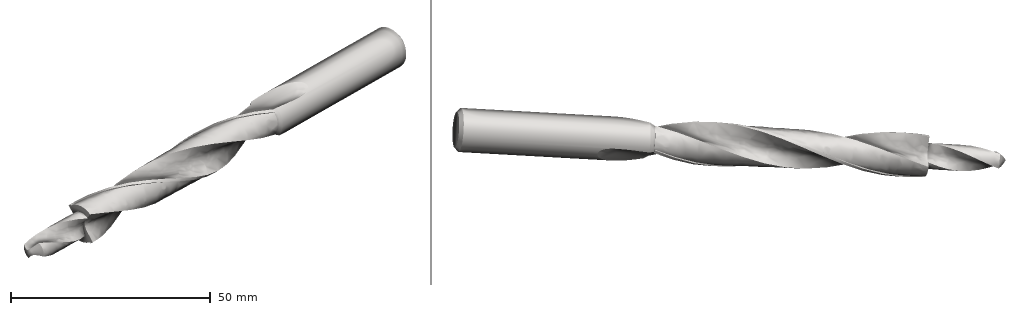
import cadquery as cq
import math

total_length = 140.0
shank_diameter = 11.0
shank_length = 49.8
end_chamfer = 1.0
neck_chamfer_length = 1.3

step_position = 119.8
margin_radius = shank_diameter / 2
margin_angle = 9.0
land_angle = 85.0
clearance_front_radius = 5.2
clearance_back_radius = 4.9
drill_pitch = 95.2
drill_vertex_radius = 0.7
step_lead_angle = 136.0

runout_length = 12.9
runout_sideways = 4.3
runout_outward = 2.8
runout_overrun = 1.2

pilot_radius = 3.29
pilot_land_angle = 68.0
pilot_pitch = 52.3
pilot_vertex_radius = 0.4
pilot_tip_height = 2.1
pilot_lead_angle = 238.0
envelope_oversize = 1.1

flute_count = 2
flute_spacing = 360.0 / flute_count


def polar(radius, angle):
    """Point in a cross-section; angles in degrees turn from +X towards +Z."""
    return radius * math.cos(math.radians(angle)), radius * math.sin(math.radians(angle))


def section_at(distance):
    """Cross-section plane at a distance from the shank end, facing the tip."""
    return cq.Workplane("XZ", origin=(0, -distance, 0))


def twist(length, pitch):
    return 360.0 * length / pitch


def toward(start, end, distance):
    """Point at a distance from start on the way to end."""
    ratio = distance / math.dist(start, end)
    return start[0] + ratio * (end[0] - start[0]), start[1] + ratio * (end[1] - start[1])


def draw_flute(sketch, start, end, vertex):
    """Continue an outline from start to end along a smooth V with walls aimed at the vertex."""
    return sketch.bezier([start, vertex, vertex, end])


def drill_section(distance, lead_angle):
    """Two relieved lands with margins, joined by the web."""
    sketch = section_at(distance).moveTo(*polar(clearance_back_radius, lead_angle - land_angle))
    for index in range(flute_count):
        lead = lead_angle + index * flute_spacing
        trail = lead - land_angle
        margin_back = lead - margin_angle
        next_trail = trail + flute_spacing
        clearance_middle = (clearance_front_radius + clearance_back_radius) / 2
        sketch = (
            sketch.threePointArc(
                polar(clearance_middle, (trail + margin_back) / 2),
                polar(clearance_front_radius, margin_back),
            )
            .lineTo(*polar(margin_radius, margin_back))
            .threePointArc(polar(margin_radius, lead - margin_angle / 2), polar(margin_radius, lead))
        )
        vertex = polar(drill_vertex_radius, (lead + next_trail) / 2)
        sketch = draw_flute(
            sketch, polar(margin_radius, lead), polar(clearance_back_radius, next_trail), vertex
        )
    return sketch.close()


def pilot_section(distance, lead_angle):
    """Two plain cylindrical lands joined by a thin web."""
    sketch = section_at(distance).moveTo(*polar(pilot_radius, lead_angle - pilot_land_angle))
    for index in range(flute_count):
        lead = lead_angle + index * flute_spacing
        next_trail = lead - pilot_land_angle + flute_spacing
        sketch = sketch.threePointArc(
            polar(pilot_radius, lead - pilot_land_angle / 2), polar(pilot_radius, lead)
        )
        vertex = polar(pilot_vertex_radius, (lead + next_trail) / 2)
        sketch = draw_flute(sketch, polar(pilot_radius, lead), polar(pilot_radius, next_trail), vertex)
    return sketch.close()


def revolve_about_axis(profile):
    return profile.close().revolve(360, (0, 0, 0), (0, 1, 0))


def make_shank_blank():
    """Round shank, chamfered at the free end and down to the fluted section."""
    return revolve_about_axis(
        cq.Workplane("XY")
        .lineTo(margin_radius - end_chamfer, 0)
        .lineTo(margin_radius, -end_chamfer)
        .lineTo(margin_radius, -shank_length + neck_chamfer_length)
        .lineTo(clearance_back_radius, -shank_length)
        .lineTo(0, -shank_length)
    )


def make_runout_cutter():
    """Flute cutter for one side of the shank, in line with the drill flute at the joint."""
    lead = step_lead_angle - twist(step_position - shank_length, drill_pitch) + flute_spacing
    next_trail = lead - land_angle + flute_spacing
    middle = (lead + next_trail) / 2
    vertex = polar(drill_vertex_radius, middle)
    wall_start = polar(margin_radius, lead)
    wall_end = polar(clearance_back_radius, next_trail)
    reach = 2 * margin_radius
    profile = section_at(shank_length).moveTo(*wall_start)
    profile = (
        draw_flute(profile, wall_start, wall_end, vertex)
        .lineTo(*toward(vertex, wall_end, reach))
        .lineTo(*polar(reach, middle))
        .lineTo(*toward(vertex, wall_start, reach))
        .close()
    )
    path = cq.Vector(runout_sideways, runout_length, runout_outward) * runout_overrun
    return cq.Workplane(cq.Solid.extrudeLinear(profile.val(), [], path))


def make_shank():
    shank = make_shank_blank()
    cutter = make_runout_cutter()
    for index in range(flute_count):
        shank = shank.cut(cutter.rotate((0, 0, 0), (0, 1, 0), index * flute_spacing))
    return shank


def make_pilot():
    """Twisted pilot, trimmed to a conical point."""
    corner_position = total_length - pilot_tip_height
    length = total_length - step_position
    start_angle = pilot_lead_angle - twist(corner_position - step_position, pilot_pitch)
    pilot = pilot_section(step_position, start_angle).twistExtrude(length, twist(length, pilot_pitch))
    envelope_radius = envelope_oversize * pilot_radius
    cone_slope = pilot_tip_height / pilot_radius
    envelope = revolve_about_axis(
        cq.Workplane("XY")
        .moveTo(0, -step_position)
        .lineTo(envelope_radius, -step_position)
        .lineTo(envelope_radius, -total_length + cone_slope * envelope_radius)
        .lineTo(0, -total_length)
    )
    return pilot.intersect(envelope)


def make_drill():
    """Large fluted section and its pilot, in one piece."""
    length = step_position - shank_length
    turn = twist(length, drill_pitch)
    body = drill_section(shank_length, step_lead_angle - turn).twistExtrude(length, turn)
    return body.union(make_pilot())


shank = make_shank()
drill = make_drill()

result = cq.Compound.makeCompound([*shank.solids().vals(), *drill.solids().vals()])